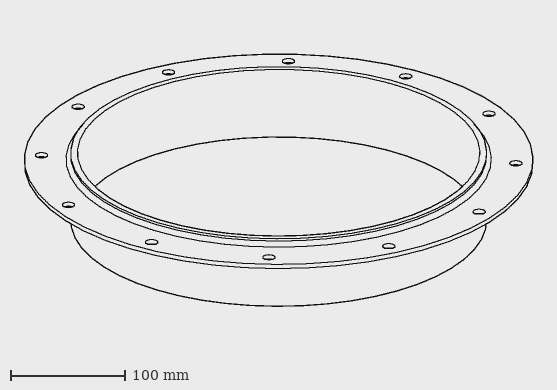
import cadquery as cq

total_height = 65.0
bore_diameter = 352.0
sleeve_diameter = 364.0

flange_diameter = 445.0
flange_thickness = 4.0
flange_top_drop = 6.2

weld_leg = 4.0

hole_count = 12
hole_diameter = 10.5
bolt_circle_diameter = 415.0

bore_radius = bore_diameter / 2
sleeve_radius = sleeve_diameter / 2
flange_radius = flange_diameter / 2
flange_top = total_height - flange_top_drop
flange_bottom = flange_top - flange_thickness


def make_ring():
    """Revolve the section of sleeve, flange and weld bead about Z."""
    section = (
        cq.Workplane("XZ")
        .moveTo(bore_radius, 0)
        .lineTo(sleeve_radius, 0)
        .lineTo(sleeve_radius, flange_bottom)
        .lineTo(flange_radius, flange_bottom)
        .lineTo(flange_radius, flange_top)
        .lineTo(sleeve_radius + weld_leg, flange_top)
        .lineTo(sleeve_radius, flange_top + weld_leg)
        .lineTo(sleeve_radius, total_height)
        .lineTo(bore_radius, total_height)
        .close()
    )
    return section.revolve(360, (0, 0, 0), (0, 1, 0))


def make_bolt_holes():
    """Cylinders through the flange, evenly spaced on the bolt circle."""
    return (
        cq.Workplane("XY", origin=(0, 0, flange_bottom))
        .polarArray(bolt_circle_diameter / 2, 0, 360, hole_count)
        .circle(hole_diameter / 2)
        .extrude(flange_thickness)
    )


result = make_ring().cut(make_bolt_holes())